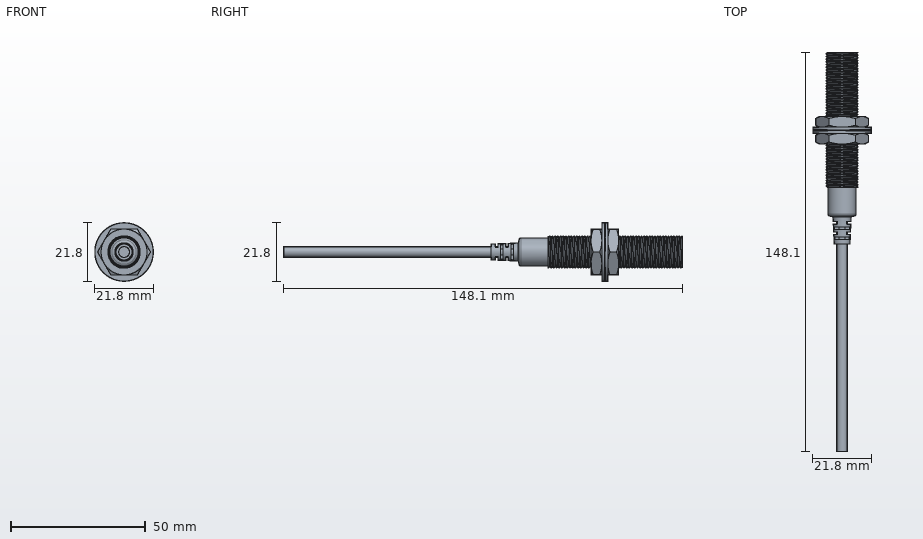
import cadquery as cq
import math

TOTAL_LENGTH = 148.1

THREAD_DIAMETER = 12.0
THREAD_LENGTH = 50.0
THREAD_TURNS = 50
THREAD_DEPTH = 0.6
SPIRAL_STEPS = 16
THREAD_PITCH = THREAD_LENGTH / THREAD_TURNS

SLEEVE_DIAMETER = 10.5
SLEEVE_LENGTH = 11.0
SLEEVE_ROUNDING = 0.7
SLEEVE_CONE = 0.3

BOOT_LENGTH = 10.0
BOOT_FRONT_DIAMETER = 6.8
BOOT_REAR_DIAMETER = 5.9
SLOT_COUNT = 4
SLOT_WIDTH = 0.9
SLOT_SPACING = 1.9
FIRST_SLOT_OFFSET = 2.2
SLOT_FLOOR = 1.6

CABLE_DIAMETER = 4.0

NUT_WIDTH = 17.0
NUT_THICKNESS = 4.0
NUT_CHAMFER_ANGLE = 30
WASHER_DIAMETER = 21.8
WASHER_THICKNESS = 1.0
WASHER_GAP = 0.22
STACK_MIDDLE_Y = -28.9

SLEEVE_Y = -THREAD_LENGTH
BOOT_Y = SLEEVE_Y - SLEEVE_LENGTH


def cylinder(diameter, start_y, length):
    """Cylinder on the Y axis, running from start_y towards -Y."""
    return cq.Workplane("XZ", origin=(0, start_y, 0)).circle(diameter / 2).extrude(length)


def half_turn_spiral(start_radius, end_radius, start_angle):
    """Flat spiral edge whose radius changes steadily over half a turn."""
    points = []
    for step in range(SPIRAL_STEPS + 1):
        share = step / SPIRAL_STEPS
        radius = start_radius + (end_radius - start_radius) * share
        angle = start_angle + math.pi * share
        points.append(cq.Vector(radius * math.cos(angle), radius * math.sin(angle)))
    return cq.Edge.makeSpline(points)


def thread_turn():
    """One turn of V thread: a section that spirals from crest to root and back, twisted along Y."""
    crest = THREAD_DIAMETER / 2
    root = crest - THREAD_DEPTH
    section = cq.Wire.assembleEdges(
        [half_turn_spiral(crest, root, 0), half_turn_spiral(root, crest, math.pi)]
    )
    turn = cq.Solid.extrudeLinearWithRotation(
        section, [], cq.Vector(0, 0, 0), cq.Vector(0, 0, THREAD_PITCH), 360
    )
    return cq.Workplane(obj=turn).rotate((0, 0, 0), (1, 0, 0), 90)


def slotted_boot():
    """Tapered boot with slot pairs cut from opposite sides, turned a quarter turn at each step."""
    boot = (
        cq.Workplane("XZ", origin=(0, BOOT_Y, 0))
        .circle(BOOT_FRONT_DIAMETER / 2)
        .workplane(offset=BOOT_LENGTH)
        .circle(BOOT_REAR_DIAMETER / 2)
        .loft(ruled=True)
    )
    slot_depth = BOOT_FRONT_DIAMETER / 2 - SLOT_FLOOR
    for index in range(SLOT_COUNT):
        slot_y = BOOT_Y - FIRST_SLOT_OFFSET - index * SLOT_SPACING
        slots = (
            cq.Workplane("XY", origin=(0, slot_y, 0))
            .pushPoints([(side * (SLOT_FLOOR + slot_depth / 2), 0) for side in (-1, 1)])
            .box(slot_depth, SLOT_WIDTH, BOOT_FRONT_DIAMETER)
        )
        boot = boot.cut(slots.rotate((0, 0, 0), (0, 1, 0), 90 * index))
    return boot


def rear_sleeve():
    """Smooth sleeve with a rounded rear edge and a shallow conical end around the boot."""
    radius = SLEEVE_DIAMETER / 2
    cone_y = BOOT_Y + SLEEVE_CONE
    round_y = cone_y + SLEEVE_ROUNDING
    diagonal = SLEEVE_ROUNDING * math.sqrt(0.5)
    return (
        cq.Workplane("XY")
        .moveTo(0, SLEEVE_Y)
        .lineTo(radius, SLEEVE_Y)
        .lineTo(radius, round_y)
        .threePointArc(
            (radius - SLEEVE_ROUNDING + diagonal, round_y - diagonal),
            (radius - SLEEVE_ROUNDING, cone_y),
        )
        .lineTo(BOOT_FRONT_DIAMETER / 2, BOOT_Y)
        .lineTo(0, BOOT_Y)
        .close()
        .revolve(360, (0, 0, 0), (0, 1, 0))
    )


def make_sensor():
    """Helically threaded barrel, sleeve, boot and cable in one solid."""
    cable = cylinder(CABLE_DIAMETER, BOOT_Y, TOTAL_LENGTH + BOOT_Y)
    rear = rear_sleeve().union(slotted_boot()).union(cable)

    turn = thread_turn()
    sensing_face = turn.faces(">Y").val()
    end_outline = turn.faces("<Y").val().outerWire().translate(cq.Vector(0, THREAD_PITCH - THREAD_LENGTH, 0))
    shoulder = cq.Face.makeFromWires(end_outline, [rear.faces(">Y").val().outerWire()])
    skin = [sensing_face, shoulder, *rear.faces("not >Y").vals()]
    for index in range(THREAD_TURNS):
        flanks = turn.faces("not |Y").translate((0, -index * THREAD_PITCH, 0))
        skin.extend(flanks.vals())
    return cq.Solid.makeSolid(cq.Shell.makeShell(skin))


def make_nut(start_y):
    """Hexagon nut with both faces chamfered to a circle; flats face up and down."""
    corner_radius = NUT_WIDTH / 2 / math.cos(math.radians(30))
    face_radius = NUT_WIDTH / 2
    drop = (corner_radius - face_radius) * math.tan(math.radians(NUT_CHAMFER_ANGLE))
    hexagon = (
        cq.Workplane("XZ", origin=(0, start_y, 0)).polygon(6, 2 * corner_radius).extrude(NUT_THICKNESS)
    )
    envelope = (
        cylinder(2 * corner_radius, start_y, NUT_THICKNESS)
        .faces("|Y")
        .chamfer(drop, corner_radius - face_radius)
    )
    return hexagon.intersect(envelope).cut(cylinder(THREAD_DIAMETER, start_y, NUT_THICKNESS))


def make_washer(start_y):
    """Plain flat washer."""
    bore = cylinder(THREAD_DIAMETER, start_y, WASHER_THICKNESS)
    return cylinder(WASHER_DIAMETER, start_y, WASHER_THICKNESS).cut(bore)


sensor = make_sensor()

front_washer_y = STACK_MIDDLE_Y + WASHER_GAP / 2 + WASHER_THICKNESS
rear_washer_y = STACK_MIDDLE_Y - WASHER_GAP / 2
washers = [make_washer(start_y) for start_y in (front_washer_y, rear_washer_y)]
nut_starts = (front_washer_y + NUT_THICKNESS, rear_washer_y - WASHER_THICKNESS)
nuts = [make_nut(start_y) for start_y in nut_starts]

result = cq.Compound.makeCompound(
    [sensor, *[nut.val() for nut in nuts], *[washer.val() for washer in washers]]
)